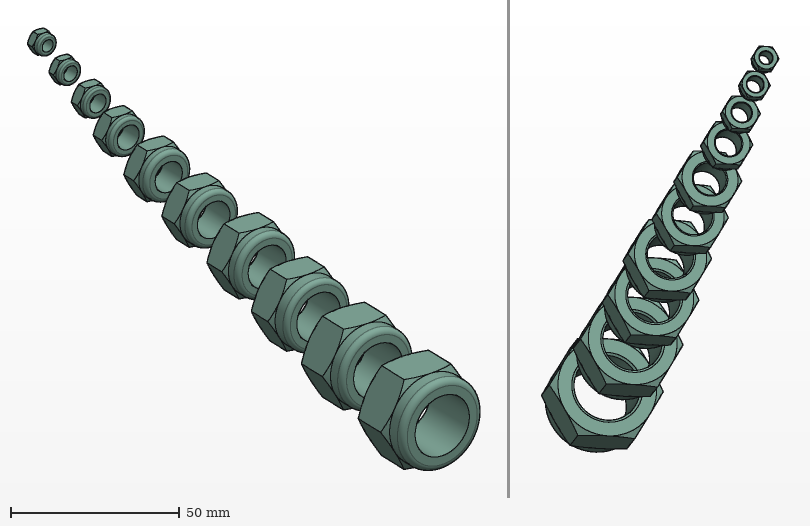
import cadquery as cq
import math


NUT_SIZES = [
    (7, 5, 3, 4, 0.65, 5, -12.95),
    (8, 5, 3, 5, 0.6, 5, -11.85),
    (10, 6, 4, 6, 0.7, 5, -9.85),
    (13, 8, 5.5, 8, 1.05, 7, -8.2),
    (17, 10, 6.5, 10, 1.5, 9, -5.75),
    (19, 12, 8, 12, 1.5, 10, -4.6),
    (22, 14, 9.5, 14, 1.75, 10, -2.5),
    (24, 16, 10.5, 16, 1.6, 10, -2.65),
    (27, 18.5, 13, 18, 1.9, 10, -1.65),
    (30, 20, 14, 20, 2.1, 0, 0),
]

TOP_FLAT_STEP = 5
CHAMFER_ANGLE = math.radians(30)
SINK_ANGLE = math.radians(30)
SINK_WIDTH_RATIO = 0.04


def revolve_about_x(points):
    """Solid of revolution about the X axis from an outline of (x, radius) points."""
    outline = cq.Workplane("XY").polyline(points).close()
    return outline.revolve(360, (0, 0, 0), (1, 0, 0))


def make_hexagon(across_flats, hexagon_length):
    """Hexagon with flats at +Z and -Z, its corners chamfered at both ends."""
    flat_radius = across_flats / 2
    corner_radius = across_flats / math.sqrt(3)
    chamfer_depth = (corner_radius - flat_radius) * math.tan(CHAMFER_ANGLE)
    prism = cq.Workplane("YZ").polygon(6, 2 * corner_radius).extrude(hexagon_length)
    chamfer_envelope = revolve_about_x([
        (0, 0),
        (0, flat_radius),
        (chamfer_depth, corner_radius),
        (hexagon_length - chamfer_depth, corner_radius),
        (hexagon_length, flat_radius),
        (hexagon_length, 0),
    ])
    return prism.intersect(chamfer_envelope)


def make_collar(across_flats, length, edge_radius):
    """Round collar as wide as the flats, with a rounded edge at its +X end."""
    cylinder = cq.Workplane("YZ").circle(across_flats / 2).extrude(length)
    return cylinder.faces(">X").edges().fillet(edge_radius)


def make_bore(bore_diameter, length):
    """Through bore, countersunk at the hexagon end."""
    bore_radius = bore_diameter / 2
    sink_width = bore_diameter * SINK_WIDTH_RATIO
    sink_depth = sink_width * math.tan(SINK_ANGLE)
    return revolve_about_x([
        (0, 0),
        (0, bore_radius + sink_width),
        (sink_depth, bore_radius),
        (length, bore_radius),
        (length, 0),
    ])


def make_nut(across_flats, length, hexagon_length, bore_diameter, edge_radius):
    """One nut on the X axis, starting at X = 0."""
    hexagon = make_hexagon(across_flats, hexagon_length)
    collar = make_collar(across_flats, length, edge_radius)
    return hexagon.union(collar).cut(make_bore(bore_diameter, length))


nuts = []
start_x = 0
top_flat_z = 0
for across_flats, length, hexagon_length, bore_diameter, edge_radius, gap, axis_y in NUT_SIZES:
    nut = make_nut(across_flats, length, hexagon_length, bore_diameter, edge_radius)
    axis_z = top_flat_z - across_flats / 2
    nuts.append(nut.translate((start_x, axis_y, axis_z)))
    start_x += length + gap
    top_flat_z -= TOP_FLAT_STEP

result = cq.Compound.makeCompound([nut.val() for nut in nuts])